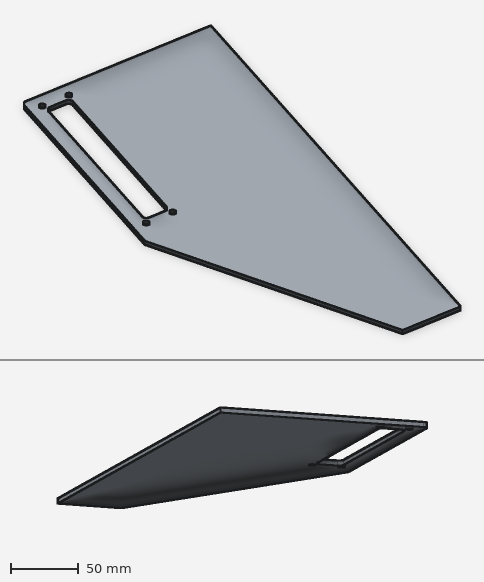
import cadquery as cq

length = 356.0
width = 162.5
thickness = 4.0
bottom_edge_length = 175.0
right_edge_length = 50.0
corner_radius = 3.5

window_left = 14.5
window_bottom = 12.0
window_length = 140.3
window_width = 20.5
window_radius = 3.5

hole_diameter = 5.0
hole_spacing_x = 148.0
hole_spacing_y = 22.8

window_center = (window_left + window_length / 2, window_bottom + window_width / 2)


def make_plate():
    """Flat plate with a sloped lower right side and two rounded bottom corners."""
    slope_start = (bottom_edge_length, 0)
    slope_end = (length, width - right_edge_length)
    outline = [(0, 0), slope_start, slope_end, (length, width), (0, width)]
    plate = cq.Workplane("XY").polyline(outline).close().extrude(thickness)

    for x, y in [(0, 0), slope_start]:
        corner = cq.selectors.NearestToPointSelector((x, y, thickness / 2))
        plate = plate.edges(corner).fillet(corner_radius)
    return plate


def make_window():
    """Cutter for the window with rounded corners."""
    return (
        cq.Workplane("XY")
        .center(*window_center)
        .rect(window_length, window_width)
        .extrude(thickness)
        .edges("|Z")
        .fillet(window_radius)
    )


def make_holes():
    """Cutters for the four holes, centred on the window."""
    return (
        cq.Workplane("XY")
        .center(*window_center)
        .rarray(hole_spacing_x, hole_spacing_y, 2, 2)
        .circle(hole_diameter / 2)
        .extrude(thickness)
    )


result = make_plate().cut(make_window()).cut(make_holes())